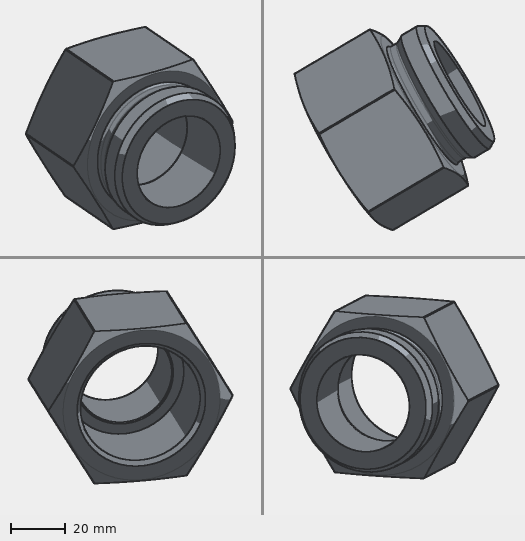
import cadquery as cq
import math

total_length = 51.0
hex_length = 35.0

across_flats = 60.0
across_corners = 69.05
hex_face_diameter = 58.9
hex_chamfer_angle = math.radians(15)

collar_diameter = 52.0
neck_diameter = 48.9
collar_length = 6.5
spigot_slope = math.radians(30)
neck_fillet = 1.5
neck_start = hex_length + 1.2

socket_diameter = 44.8
socket_mouth_diameter = 48.15
socket_depth = 28.0
socket_mouth_angle = math.radians(45)
through_diameter = 36.0
through_chamfer = 0.5


def revolve_about_x(profile):
    """Turn a closed (x, radius) profile about the X axis."""
    return profile.close().revolve(360, (0, 0, 0), (1, 0, 0))


def hex_body():
    prism = (
        cq.Workplane("YZ")
        .polygon(6, across_flats / math.cos(math.pi / 6))
        .extrude(hex_length)
    )
    face_radius = hex_face_diameter / 2
    corner_radius = across_corners / 2
    chamfer_length = (corner_radius - face_radius) * math.tan(hex_chamfer_angle)
    envelope = revolve_about_x(
        cq.Workplane("XY")
        .moveTo(0, 0)
        .lineTo(0, face_radius)
        .lineTo(chamfer_length, corner_radius)
        .lineTo(hex_length - chamfer_length, corner_radius)
        .lineTo(hex_length, face_radius)
        .lineTo(hex_length, 0)
    )
    return prism.intersect(envelope)


def spigot():
    neck_radius = neck_diameter / 2
    collar_radius = collar_diameter / 2
    step = collar_radius - neck_radius
    fillet_center_radius = neck_radius + neck_fillet

    def on_fillet(center_x, angle):
        """Point on a neck fillet, at an angle from its lowest point."""
        return (
            center_x + neck_fillet * math.sin(angle),
            fillet_center_radius - neck_fillet * math.cos(angle),
        )

    root_angle = -math.asin((neck_start - hex_length) / neck_fillet)

    chamfer_start = total_length - step / math.tan(spigot_slope)
    collar_start = chamfer_start - collar_length
    fillet_rise = neck_fillet * (1 - math.cos(spigot_slope))
    cone_start = collar_start - (step - fillet_rise) / math.tan(spigot_slope)
    neck_end = cone_start - neck_fillet * math.sin(spigot_slope)

    return revolve_about_x(
        cq.Workplane("XY")
        .moveTo(hex_length, 0)
        .lineTo(*on_fillet(neck_start, root_angle))
        .threePointArc(on_fillet(neck_start, root_angle / 2), (neck_start, neck_radius))
        .lineTo(neck_end, neck_radius)
        .threePointArc(on_fillet(neck_end, spigot_slope / 2), on_fillet(neck_end, spigot_slope))
        .lineTo(collar_start, collar_radius)
        .lineTo(chamfer_start, collar_radius)
        .lineTo(total_length, neck_radius)
        .lineTo(total_length, 0)
    )


def bore():
    mouth_radius = socket_mouth_diameter / 2
    socket_radius = socket_diameter / 2
    through_radius = through_diameter / 2
    mouth_length = (mouth_radius - socket_radius) / math.tan(socket_mouth_angle)
    return revolve_about_x(
        cq.Workplane("XY")
        .moveTo(0, 0)
        .lineTo(0, mouth_radius)
        .lineTo(mouth_length, socket_radius)
        .lineTo(socket_depth, socket_radius)
        .lineTo(socket_depth, through_radius + through_chamfer)
        .lineTo(socket_depth + through_chamfer, through_radius)
        .lineTo(total_length, through_radius)
        .lineTo(total_length, 0)
    )


result = hex_body().union(spigot()).cut(bore())